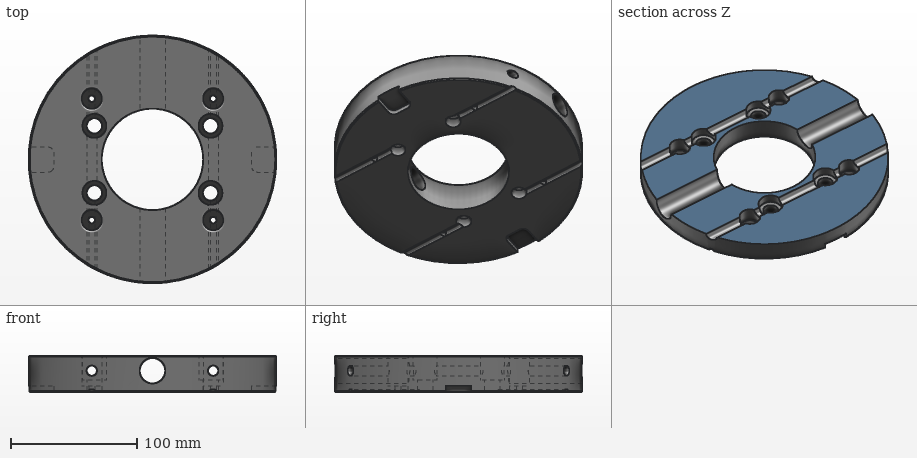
import cadquery as cq
import math

outer_diameter = 196.0
thickness = 29.0
bore_diameter = 80.0
rim_chamfer = 1.0

square_half_pitch = 48.0
square_hole_diameter = 5.0
square_counterbore_diameter = 16.0
square_counterbore_depth = 24.0
square_mouth_radius = 2.0

bolt_circle_radius = 53.0
bolt_angle = 30.0
bolt_hole_diameter = 12.0
bolt_counterbore_diameter = 19.0
bolt_counterbore_depth = 19.0

cross_hole_height = 17.0
center_cross_diameter = 20.0
side_cross_diameter = 8.0

groove_diameter = 5.0

slot_width = 20.0
slot_height = 5.0
slot_length = 20.0
slot_corner_radius = 5.0

outer_radius = outer_diameter / 2


def ring_blank():
    disc = cq.Workplane("XY").circle(outer_radius).extrude(thickness)
    disc = disc.edges().chamfer(rim_chamfer)
    bore = cq.Workplane("XY").circle(bore_diameter / 2).extrude(thickness)
    return disc.cut(bore)


def stepped_holes(points, hole_diameter, counterbore_diameter, counterbore_depth):
    holes = cq.Workplane("XY").pushPoints(points).circle(hole_diameter / 2).extrude(thickness)
    counterbores = (
        cq.Workplane("XY", origin=(0, 0, thickness))
        .pushPoints(points)
        .circle(counterbore_diameter / 2)
        .extrude(-counterbore_depth)
    )
    return holes.union(counterbores)


def rounded_mouths(points, diameter, radius):
    bore_radius = diameter / 2
    arc_middle = radius * (1 - math.sqrt(0.5))
    profile = (
        cq.Workplane("XZ")
        .moveTo(0, thickness - radius)
        .lineTo(bore_radius, thickness - radius)
        .threePointArc(
            (bore_radius + arc_middle, thickness - arc_middle),
            (bore_radius + radius, thickness),
        )
        .lineTo(0, thickness)
        .close()
    )
    mouth = profile.revolve(360, (0, 0, 0), (0, 1, 0)).val()
    return cq.Workplane("XY").pushPoints(points).eachpoint(lambda place: mouth.moved(place))


def cylinder_along_y(x, z, diameter):
    return (
        cq.Workplane("XZ", origin=(x, 0, z))
        .circle(diameter / 2)
        .extrude(outer_radius, both=True)
    )


def groove_to_rim(x, y):
    direction = math.copysign(1, y)
    radius = groove_diameter / 2
    return (
        cq.Workplane("XZ", origin=(x, y, 0))
        .moveTo(-radius, 0)
        .threePointArc((0, radius), (radius, 0))
        .lineTo(radius, -radius)
        .lineTo(-radius, -radius)
        .close()
        .extrude(-direction * outer_radius)
    )


def rim_slot(side):
    slot = cq.Workplane("XY").center(side * outer_radius, 0).rect(2 * slot_length, slot_width)
    inner_edges = "|Z and <X" if side > 0 else "|Z and >X"
    return slot.extrude(slot_height).edges(inner_edges).fillet(slot_corner_radius)


signs = [(sx, sy) for sx in (-1, 1) for sy in (-1, 1)]
square_points = [(sx * square_half_pitch, sy * square_half_pitch) for sx, sy in signs]
bolt_x = bolt_circle_radius * math.cos(math.radians(bolt_angle))
bolt_y = bolt_circle_radius * math.sin(math.radians(bolt_angle))
bolt_points = [(sx * bolt_x, sy * bolt_y) for sx, sy in signs]

result = ring_blank()
result = result.cut(
    stepped_holes(
        square_points, square_hole_diameter, square_counterbore_diameter, square_counterbore_depth
    )
)
result = result.cut(rounded_mouths(square_points, square_counterbore_diameter, square_mouth_radius))
result = result.cut(
    stepped_holes(bolt_points, bolt_hole_diameter, bolt_counterbore_diameter, bolt_counterbore_depth)
)
result = result.cut(cylinder_along_y(0, cross_hole_height, center_cross_diameter))
for side in (-1, 1):
    side_x = side * square_half_pitch
    result = result.cut(cylinder_along_y(side_x, cross_hole_height, side_cross_diameter))
    result = result.cut(rim_slot(side))
for x_sign, y_sign in signs:
    result = result.cut(groove_to_rim(x_sign * square_half_pitch, y_sign * bolt_y))